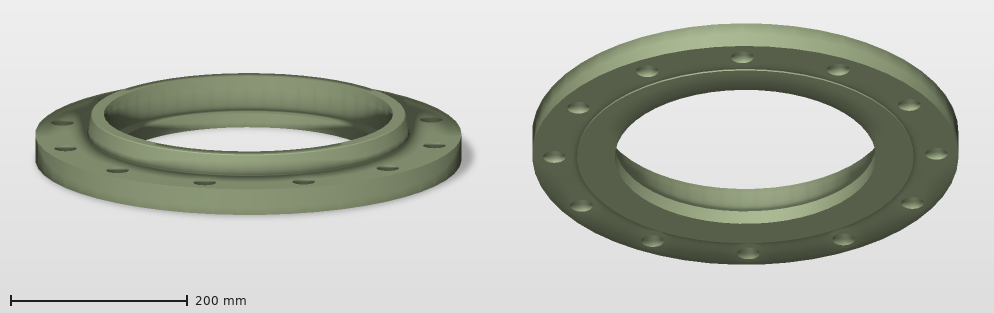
import cadquery as cq

flange_radius = 241.0
flange_thickness = 30.0
face_height = 2.0
face_radius = 190.5
total_height = 55.5

hub_base_radius = 182.5
hub_top_radius = 178.0
hub_root_fillet = 1.5
rim_bevel = 1.0

bore_radius = 147.5
socket_radius = 163.5
socket_depth = 39.0

bolt_count = 12
bolt_circle_radius = 216.0
bolt_hole_diameter = 25.5

flange_top = face_height + flange_thickness


def make_flange():
    """Bolting disc with the narrower raised face underneath."""
    face = cq.Workplane("XY").circle(face_radius).extrude(face_height)
    disc = cq.Workplane("XY", origin=(0, 0, face_height)).circle(flange_radius).extrude(flange_thickness)
    return face.union(disc)


def make_hub():
    """Tapered hub with a bevelled outer rim."""
    half_section = [
        (0, flange_top),
        (hub_base_radius, flange_top),
        (hub_top_radius, total_height - rim_bevel),
        (hub_top_radius - rim_bevel, total_height),
        (0, total_height),
    ]
    return cq.Workplane("XZ").polyline(half_section).close().revolve(360, (0, 0), (0, 1))


def fillet_hub_root(body):
    """Round the corner where the hub meets the flange."""
    flange_upper_face = cq.selectors.NearestToPointSelector((bolt_circle_radius, 0, flange_top))
    inner_edge = cq.selectors.RadiusNthSelector(0)
    return body.faces(flange_upper_face).edges(inner_edge).fillet(hub_root_fillet)


def cut_bore(body):
    """Through bore with a wider socket entering from the hub."""
    bore = cq.Workplane("XY").circle(bore_radius).extrude(total_height)
    socket_floor = total_height - socket_depth
    socket = cq.Workplane("XY", origin=(0, 0, socket_floor)).circle(socket_radius).extrude(socket_depth)
    return body.cut(bore).cut(socket)


def cut_bolt_holes(body):
    """Evenly spaced through holes, the first on +X."""
    holes = (
        cq.Workplane("XY")
        .polarArray(bolt_circle_radius, 0, 360, bolt_count)
        .circle(bolt_hole_diameter / 2)
        .extrude(flange_top)
    )
    return body.cut(holes)


body = make_flange().union(make_hub())
body = fillet_hub_root(body)
body = cut_bore(body)
result = cut_bolt_holes(body)